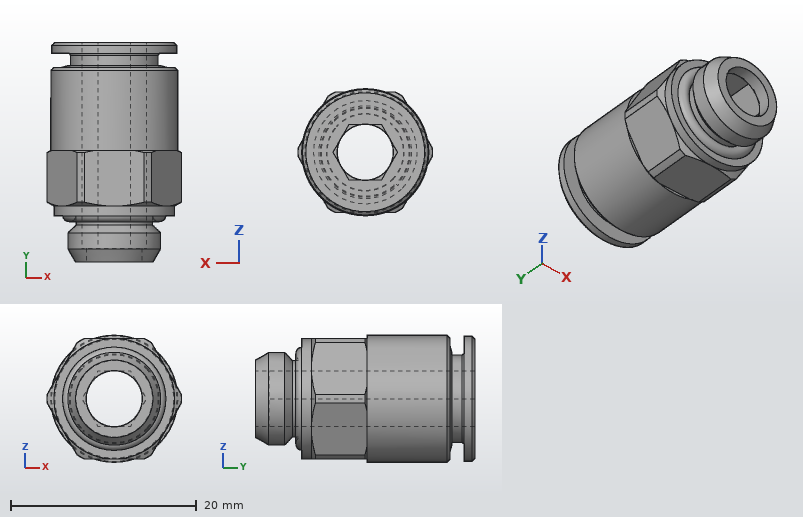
import cadquery as cq
import math

TIP_CHAMFER_END = 1.45
THREAD_END = 3.18
UNDERCUT_START = 4.0
SEAL_START = 4.35
FLANGE_START = 5.0
HEX_START = 6.05
HEX_END = 12.05
BODY_CHAMFER_START = 20.67
BODY_END = 21.0
LIP_END = 21.19
HEAD_START = 22.5
HEAD_CHAMFER_START = 23.35
LENGTH = 23.7

BORE_RADIUS = 3.0
TIP_RADIUS = 4.17
THREAD_RADIUS = 5.0
UNDERCUT_RADIUS = 4.12
SEAL_RADIUS = 5.57
SEAL_SECTION_RADIUS = (SEAL_RADIUS - UNDERCUT_RADIUS) / 2
BODY_RADIUS = 6.85
BODY_CHAMFER = BODY_END - BODY_CHAMFER_START
LIP_BASE_RADIUS = 5.69
LIP_RADIUS = 4.98
COLLAR_RADIUS = 4.75
HEAD_RADIUS = 6.75
HEAD_CHAMFER = LENGTH - HEAD_CHAMFER_START
COLLAR_FLARE_LENGTH = 0.21
COLLAR_FLARE_RADIUS = 4.83

HEX_ACROSS_FLATS = 12.99
FLANGE_RADIUS = HEX_ACROSS_FLATS / 2
HEX_CORNER_RADIUS = 7.25
HEX_CHAMFER_SLOPE = math.tan(math.radians(30))
CORNERS_PER_FLATS = 1 / math.cos(math.radians(30))

SOCKET_START = 1.5
SOCKET_ACROSS_FLATS = 2 * BORE_RADIUS


def make_turned_body():
    """Revolve the stepped outside profile, given as (radius, Y)."""
    profile = (
        cq.Workplane("XY")
        .moveTo(0, 0)
        .lineTo(TIP_RADIUS, 0)
        .lineTo(THREAD_RADIUS, TIP_CHAMFER_END)
        .lineTo(THREAD_RADIUS, THREAD_END)
        .lineTo(UNDERCUT_RADIUS, UNDERCUT_START)
        .lineTo(UNDERCUT_RADIUS, FLANGE_START)
        .lineTo(FLANGE_RADIUS, FLANGE_START)
        .lineTo(FLANGE_RADIUS, HEX_END)
        .lineTo(BODY_RADIUS, HEX_END)
        .lineTo(BODY_RADIUS, BODY_CHAMFER_START)
        .lineTo(BODY_RADIUS - BODY_CHAMFER, BODY_END)
        .lineTo(LIP_BASE_RADIUS, BODY_END)
        .lineTo(LIP_RADIUS, LIP_END)
        .lineTo(COLLAR_RADIUS, LIP_END)
        .lineTo(COLLAR_RADIUS, HEAD_START - COLLAR_FLARE_LENGTH)
        .lineTo(COLLAR_FLARE_RADIUS, HEAD_START)
        .lineTo(HEAD_RADIUS, HEAD_START)
        .lineTo(HEAD_RADIUS, HEAD_CHAMFER_START)
        .lineTo(HEAD_RADIUS - HEAD_CHAMFER, LENGTH)
        .lineTo(0, LENGTH)
        .close()
    )
    return profile.revolve(360, (0, 0, 0), (0, 1, 0))


def make_hex():
    """Hexagon with corners on the X axis, turned to a rounded, chamfered envelope."""
    across_corners = HEX_ACROSS_FLATS * CORNERS_PER_FLATS
    prism = (
        cq.Workplane("XZ", origin=(0, HEX_START, 0))
        .polygon(6, across_corners)
        .extrude(HEX_START - HEX_END)
    )
    front_chamfer = (HEX_CORNER_RADIUS - FLANGE_RADIUS) * HEX_CHAMFER_SLOPE
    back_chamfer = (HEX_CORNER_RADIUS - BODY_RADIUS) * HEX_CHAMFER_SLOPE
    envelope = (
        cq.Workplane("XY")
        .moveTo(0, HEX_START)
        .lineTo(FLANGE_RADIUS, HEX_START)
        .lineTo(HEX_CORNER_RADIUS, HEX_START + front_chamfer)
        .lineTo(HEX_CORNER_RADIUS, HEX_END - back_chamfer)
        .lineTo(BODY_RADIUS, HEX_END)
        .lineTo(0, HEX_END)
        .close()
        .revolve(360, (0, 0, 0), (0, 1, 0))
    )
    return prism.intersect(envelope)


def make_seal():
    """O-ring seated on the undercut and against the flange."""
    ring_radius = (SEAL_RADIUS + UNDERCUT_RADIUS) / 2
    section = (
        cq.Workplane("XY")
        .moveTo(ring_radius, SEAL_START + SEAL_SECTION_RADIUS)
        .circle(SEAL_SECTION_RADIUS)
    )
    return section.revolve(360, (0, 0, 0), (0, 1, 0))


def make_bore():
    """Round bore at the tip, opening into a hexagonal socket that runs to the far end."""
    round_bore = cq.Workplane("XZ").circle(BORE_RADIUS).extrude(-SOCKET_START)
    socket = (
        cq.Workplane("XZ", origin=(0, SOCKET_START, 0))
        .polygon(6, SOCKET_ACROSS_FLATS * CORNERS_PER_FLATS)
        .extrude(SOCKET_START - LENGTH)
    )
    return round_bore.union(socket)


result = make_turned_body().union(make_hex()).union(make_seal()).cut(make_bore())